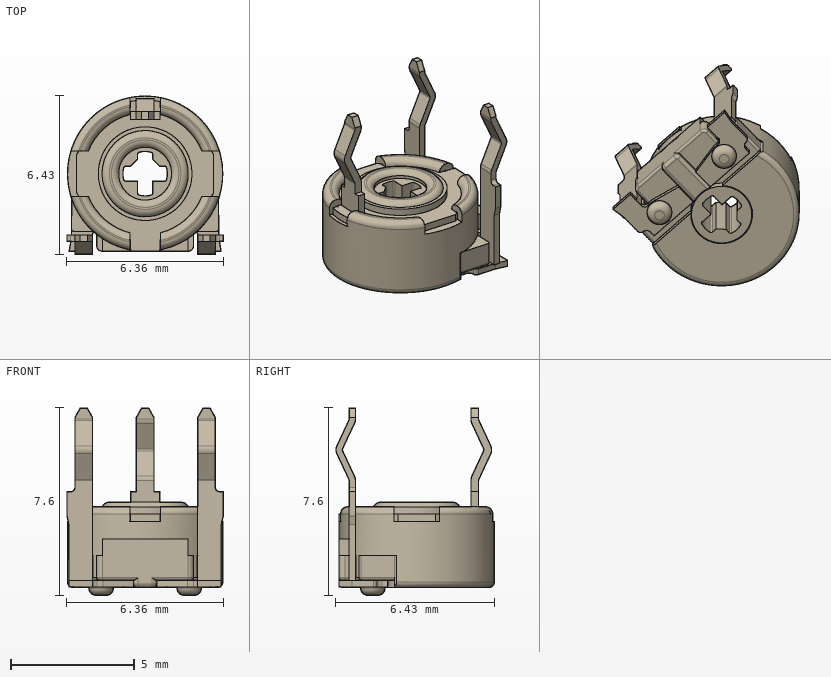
import cadquery as cq
import math


HOUSING_RADIUS = 6.3 / 2
HOUSING_TOP = 3.28
BOTTOM_FILLET = 0.23
PLATE_BOTTOM = 2.68
PLATE_TOP = 2.98
PLATE_RADIUS = 5.5 / 2
LIP_FILLET = HOUSING_TOP - PLATE_TOP
LIP_CREST_INNER_RADIUS = 2.78
LIP_INNER_RADIUS = LIP_CREST_INNER_RADIUS - LIP_FILLET
BORE_RADIUS = 3.6 / 2
BORE_FLOOR = 0.61
JOURNAL_HOLE_RADIUS = 2.5 / 2

SIDE_NOTCH_WIDTH = 1.84
END_NOTCH_WIDTH = 1.24

FRONT_Y = -HOUSING_RADIUS
WIDE_BLOCK_WIDTH = 3.94
WIDE_BLOCK_CORNER = 0.235
LOW_BLOCK_TOP = 1.29
TALL_BLOCK_WIDTH = WIDE_BLOCK_WIDTH - 2 * WIDE_BLOCK_CORNER
TALL_BLOCK_TOP = 1.975
SIDE_BLOCK_WIDTH = 5.96
SIDE_BLOCK_BACK_Y = -0.82
SIDE_BLOCK_FRONT_Y = -2.34
SIDE_BLOCK_CORNER = 0.08
SIDE_RELIEF_FILLET = 0.075
BLOCK_BOTTOM_FILLET = 0.11

FOOT_RECESS_BACK_Y = -0.9
FOOT_TOP = 0.3
BLOCK_CORE_BOTTOM = FOOT_TOP + BLOCK_BOTTOM_FILLET
BOSS_WIDTH = 0.94
BOSS_CORNER = 0.19
BOSS_BOTTOM_FILLET = 0.15
BOSS_ROOT = 0.76

FRONT_TAB_WIDTH = 1.185
BACK_TAB_RADIUS = 2.99
SIDE_TAB_REACH = 2.78
SIDE_TAB_FLAT = 1.52
SIDE_TAB_BEVEL = 0.09

COLLAR_RADIUS = 3.8 / 2
JOURNAL_RADIUS = 2.45 / 2
COLLAR_TOP = 3.27
ROTOR_TOP = 3.465
RING_SLOPE_WIDTH = 0.3
RING_CREST_OUTER_RADIUS = 2.9 / 2
RING_CREST_INNER_RADIUS = 1.37
RING_OUTER_RADIUS = RING_CREST_OUTER_RADIUS + RING_SLOPE_WIDTH
DISH_RADIUS = RING_CREST_INNER_RADIUS - RING_SLOPE_WIDTH
DISH_FLOOR = 3.14
KEY_RADIUS = 0.9
KEY_SLOT_WIDTH = 0.6
KEY_CORNER_FILLET = 0.07
KEY_BEVEL = 0.29

TERMINAL_TOP = 7.28
SHOULDER_TOP = 3.89
LEAD_WIDTH = 0.72
TIP_WIDTH = 0.29
TIP_HEIGHT = 0.39
BEND_HEIGHTS = (4.35, 5.585, 6.825)
BEND_RADIUS = 0.1

SIDE_STRIP = 0.265
SIDE_LEAD_BACK_Y = -2.48
SIDE_KICK = 0.53
SIDE_LEAD_INNER_X = -2.13
SIDE_LEAD_OUTER_X = SIDE_LEAD_INNER_X - LEAD_WIDTH
SHOULDER_X = -3.18
SHOULDER_BOTTOM = 2.91
SHOULDER_FILLET = 0.17
LEG_X = -3.085
LEG_TOP = 2.55

FOOT_BOTTOM = FOOT_TOP - SIDE_STRIP
PAD_OUTER_X = -2.995
PAD_FRONT_Y = -2.31
PAD_BACK_Y = -1.18
PAD_INNER_X = -BOSS_WIDTH / 2
PAD_INNER_FRONT_Y = -2.05
PAD_SLANT_START_X = -1.71
PAD_CORNER = PAD_FRONT_Y - SIDE_LEAD_BACK_Y
PAD_SIDE_END_Y = -2.615
PAD_BEND_Y = -1.755
NOSE_FILLET = 0.145
BITE_RADIUS = 0.21

CENTRE_STRIP = 0.32
CENTRE_LEAD_FRONT_Y = 2.2
CENTRE_KICK = 0.525
CENTRE_SHOULDER_WIDTH = FRONT_TAB_WIDTH

RIVET_X = 1.785
RIVET_Y = -1.78
RIVET_HEAD_RADIUS = 1.0 / 2
RIVET_HEAD_BOTTOM = -0.32
RIVET_HEAD_FILLET = 0.305
RIVET_SHANK_RADIUS = 0.7 / 2
RIVET_TOP = 0.61

SIDES = (-1, 1)


def box(x_range, y_range, z_range):
    """Box between the given limits on each axis."""
    size = [high - low for low, high in (x_range, y_range, z_range)]
    corner = (x_range[0], y_range[0], z_range[0])
    return cq.Workplane("XY").box(*size, centered=False).translate(corner)


def centred_box(width, y_range, z_range):
    """Box that is symmetric about the YZ plane."""
    return box((-width / 2, width / 2), y_range, z_range)


def disc(radius, bottom, top):
    return cq.Workplane("XY").workplane(offset=bottom).circle(radius).extrude(top - bottom)


def housing_shell():
    """Round wall with a lip, rounded on both sides, that curls over the cover plate."""
    arc_mid = LIP_FILLET * math.sqrt(0.5)
    outer_centre = HOUSING_RADIUS - LIP_FILLET
    bottom_centre = HOUSING_RADIUS - BOTTOM_FILLET
    bottom_mid = BOTTOM_FILLET * math.sqrt(0.5)
    profile = (
        cq.Workplane("XZ")
        .moveTo(JOURNAL_HOLE_RADIUS, 0)
        .lineTo(bottom_centre, 0)
        .threePointArc(
            (bottom_centre + bottom_mid, BOTTOM_FILLET - bottom_mid),
            (HOUSING_RADIUS, BOTTOM_FILLET),
        )
        .lineTo(HOUSING_RADIUS, PLATE_TOP)
        .threePointArc((outer_centre + arc_mid, PLATE_TOP + arc_mid), (outer_centre, HOUSING_TOP))
        .lineTo(LIP_CREST_INNER_RADIUS, HOUSING_TOP)
        .threePointArc((LIP_CREST_INNER_RADIUS - arc_mid, PLATE_TOP + arc_mid), (LIP_INNER_RADIUS, PLATE_TOP))
        .lineTo(PLATE_RADIUS, PLATE_TOP)
        .lineTo(PLATE_RADIUS, PLATE_BOTTOM)
        .lineTo(JOURNAL_HOLE_RADIUS, PLATE_BOTTOM)
        .close()
    )
    return profile.revolve(360, (0, 0, 0), (0, 1, 0))


def lip_notches():
    """Four gaps that split the lip into arcs and make room for the tabs of the plate."""
    reach = (-HOUSING_RADIUS, HOUSING_RADIUS)
    height = (PLATE_BOTTOM, HOUSING_TOP)
    across = box(reach, (-SIDE_NOTCH_WIDTH / 2, SIDE_NOTCH_WIDTH / 2), height)
    along = centred_box(END_NOTCH_WIDTH, reach, height)
    return across.union(along)


def front_blocks():
    """Stepped block at the front and the lower blocks that flank it, all above the terminal feet."""
    wide = (
        centred_box(WIDE_BLOCK_WIDTH, (FRONT_Y, 0), (FOOT_TOP, LOW_BLOCK_TOP))
        .edges("|Z and <Y")
        .fillet(WIDE_BLOCK_CORNER)
        .faces("<Z")
        .edges("not >Y")
        .fillet(BLOCK_BOTTOM_FILLET)
    )
    sides = (
        centred_box(SIDE_BLOCK_WIDTH, (SIDE_BLOCK_FRONT_Y, FOOT_RECESS_BACK_Y), (FOOT_TOP, LOW_BLOCK_TOP))
        .edges("|Z and <Y")
        .fillet(SIDE_BLOCK_CORNER)
        .faces("<Z")
        .edges("not >Y")
        .fillet(BLOCK_BOTTOM_FILLET)
    )
    tall = centred_box(TALL_BLOCK_WIDTH, (FRONT_Y, 0), (BLOCK_CORE_BOTTOM, TALL_BLOCK_TOP))
    return wide.union(sides).union(tall)


def foot_boss():
    """Boss between the two terminal feet."""
    return (
        centred_box(BOSS_WIDTH, (FRONT_Y, FOOT_RECESS_BACK_Y), (0, BOSS_ROOT))
        .edges("|Z and <Y")
        .fillet(BOSS_CORNER)
        .faces("<Z")
        .edges("not >Y")
        .fillet(BOSS_BOTTOM_FILLET)
    )


def side_relief():
    """Flats that trim the round wall flush with the outer sides of the side blocks."""
    left = (
        box(
            (-HOUSING_RADIUS, -SIDE_BLOCK_WIDTH / 2),
            (-HOUSING_RADIUS, SIDE_BLOCK_BACK_Y),
            (0, LOW_BLOCK_TOP),
        )
        .edges("|Z and >X and >Y")
        .fillet(SIDE_RELIEF_FILLET)
    )
    return left.union(left.mirror("YZ"))


def make_housing():
    span = (-HOUSING_RADIUS, HOUSING_RADIUS)
    bore = disc(BORE_RADIUS, BORE_FLOOR, PLATE_BOTTOM).union(disc(JOURNAL_HOLE_RADIUS, 0, BORE_FLOOR))
    foot_recess = box(span, (-HOUSING_RADIUS, FOOT_RECESS_BACK_Y), (0, BLOCK_CORE_BOTTOM))
    body = housing_shell().cut(lip_notches()).cut(side_relief()).cut(foot_recess)
    body = body.union(front_blocks()).union(foot_boss()).cut(bore)
    for side in SIDES:
        body = body.cut(disc(RIVET_SHANK_RADIUS, 0, RIVET_TOP).translate((side * RIVET_X, RIVET_Y, 0)))
    return body


def make_cover_plate():
    thickness = PLATE_TOP - PLATE_BOTTOM
    height = (PLATE_BOTTOM, PLATE_TOP)
    flat_end = SIDE_TAB_FLAT / 2
    tab_edge = SIDE_NOTCH_WIDTH / 2
    bevel_x = SIDE_TAB_REACH - SIDE_TAB_BEVEL
    side_tabs = (
        cq.Workplane("XY")
        .workplane(offset=PLATE_BOTTOM)
        .moveTo(bevel_x, -tab_edge)
        .lineTo(SIDE_TAB_REACH, -flat_end)
        .lineTo(SIDE_TAB_REACH, flat_end)
        .lineTo(bevel_x, tab_edge)
        .lineTo(-bevel_x, tab_edge)
        .lineTo(-SIDE_TAB_REACH, flat_end)
        .lineTo(-SIDE_TAB_REACH, -flat_end)
        .lineTo(-bevel_x, -tab_edge)
        .close()
        .extrude(thickness)
    )
    front_tab = centred_box(FRONT_TAB_WIDTH, (FRONT_Y, 0), height)
    back_tab = centred_box(FRONT_TAB_WIDTH, (0, HOUSING_RADIUS), height)
    back_tab = back_tab.intersect(disc(BACK_TAB_RADIUS, *height))
    plate = disc(PLATE_RADIUS, *height).union(side_tabs).union(front_tab).union(back_tab)
    return plate.cut(disc(BORE_RADIUS, *height))


def make_rotor_body():
    """Stepped shaft, collar and ring around a shallow dish; the ring slopes from its crest in arcs."""
    drop = ROTOR_TOP - COLLAR_TOP
    slope_radius = (RING_SLOPE_WIDTH**2 + drop**2) / (2 * drop)
    half_turn = math.asin(RING_SLOPE_WIDTH / slope_radius) / 2
    mid_out = slope_radius * math.sin(half_turn)
    mid_height = ROTOR_TOP - slope_radius * (1 - math.cos(half_turn))
    profile = (
        cq.Workplane("XZ")
        .lineTo(JOURNAL_RADIUS, 0)
        .lineTo(JOURNAL_RADIUS, BORE_FLOOR)
        .lineTo(BORE_RADIUS, BORE_FLOOR)
        .lineTo(BORE_RADIUS, PLATE_TOP)
        .lineTo(COLLAR_RADIUS, PLATE_TOP)
        .lineTo(COLLAR_RADIUS, COLLAR_TOP)
        .lineTo(RING_OUTER_RADIUS, COLLAR_TOP)
        .threePointArc((RING_CREST_OUTER_RADIUS + mid_out, mid_height), (RING_CREST_OUTER_RADIUS, ROTOR_TOP))
        .lineTo(RING_CREST_INNER_RADIUS, ROTOR_TOP)
        .threePointArc((RING_CREST_INNER_RADIUS - mid_out, mid_height), (DISH_RADIUS, COLLAR_TOP))
        .lineTo(DISH_RADIUS, DISH_FLOOR)
        .lineTo(0, DISH_FLOOR)
        .close()
    )
    return profile.revolve(360, (0, 0, 0), (0, 1, 0))


def key_hole():
    """Cross-shaped through hole with its two rear inside corners bevelled."""
    half = KEY_SLOT_WIDTH / 2
    bevel = half + KEY_BEVEL
    height = (0, ROTOR_TOP)
    reach = (-COLLAR_RADIUS, COLLAR_RADIUS)
    across = box(reach, (-half, half), height).intersect(disc(KEY_RADIUS, *height))
    along = box((-half, half), reach, height).intersect(disc(KEY_RADIUS, *height))
    across = across.edges("|Z").fillet(KEY_CORNER_FILLET)
    along = along.edges("|Z").fillet(KEY_CORNER_FILLET)
    bevels = (
        cq.Workplane("XY")
        .polyline([(-bevel, half), (-half, bevel), (half, bevel), (bevel, half)])
        .close()
        .extrude(ROTOR_TOP)
    )
    return across.union(along).union(bevels)


def kinked_strip(near_y, direction, thickness, kick, bottom):
    """Lead strip, wider than any lead, kinked outwards in the YZ plane.

    The strip's inward face is at near_y and it kinks along Y in `direction` (+1 or -1).
    Its kink juts out beyond the straight part by `kick`, and both sides of each bend are arcs.
    """
    low, mid, high = BEND_HEIGHTS
    inner = BEND_RADIUS
    outer = BEND_RADIUS + thickness
    base_centre = outer
    peak_centre = thickness + kick - outer
    rise = mid - low
    shift = peak_centre - base_centre
    lean = math.atan2(shift, rise) + math.asin((inner + outer) / math.hypot(shift, rise))

    def point(out, z):
        return (near_y + direction * out, z)

    def rim(centre_out, z, radius, angle):
        """Point on a bend arc, at an angle above the outward direction."""
        return point(centre_out + radius * math.cos(angle), z + radius * math.sin(angle))

    def base_rim(z, radius, angle):
        """Point on the inward side of a bend arc, at an angle above the inward direction."""
        return rim(base_centre, z, -radius, -angle)

    outline = (
        cq.Workplane("YZ")
        .moveTo(*point(0, bottom))
        .lineTo(*point(0, low))
        .threePointArc(base_rim(low, outer, lean / 2), base_rim(low, outer, lean))
        .lineTo(*rim(peak_centre, mid, inner, -lean))
        .threePointArc(rim(peak_centre, mid, inner, 0), rim(peak_centre, mid, inner, lean))
        .lineTo(*base_rim(high, outer, -lean))
        .threePointArc(base_rim(high, outer, -lean / 2), point(0, high))
        .lineTo(*point(0, TERMINAL_TOP))
        .lineTo(*point(thickness, TERMINAL_TOP))
        .lineTo(*point(thickness, high))
        .threePointArc(base_rim(high, inner, -lean / 2), base_rim(high, inner, -lean))
        .lineTo(*rim(peak_centre, mid, outer, lean))
        .threePointArc(rim(peak_centre, mid, outer, 0), rim(peak_centre, mid, outer, -lean))
        .lineTo(*base_rim(low, inner, lean))
        .threePointArc(base_rim(low, inner, lean / 2), point(thickness, low))
        .lineTo(*point(thickness, bottom))
        .close()
    )
    return outline.extrude(HOUSING_RADIUS * 2, both=True)


def tip_points(centre_x):
    """The tapered tip of a lead, from its right foot to its left foot."""
    half_lead = LEAD_WIDTH / 2
    half_tip = TIP_WIDTH / 2
    taper_start = TERMINAL_TOP - TIP_HEIGHT
    return [
        (centre_x + half_lead, taper_start),
        (centre_x + half_tip, TERMINAL_TOP),
        (centre_x - half_tip, TERMINAL_TOP),
        (centre_x - half_lead, taper_start),
    ]


def from_front(outline):
    """Prism along Y, through the whole part, of a closed outline in the XZ plane."""
    return outline.extrude(HOUSING_RADIUS * 2, both=True)


def side_lead():
    """Upright lead of the left terminal, with a shoulder on its outer side."""
    centre_x = (SIDE_LEAD_INNER_X + SIDE_LEAD_OUTER_X) / 2
    fillet_mid = SHOULDER_FILLET * (1 - math.sqrt(0.5))
    outline = (
        cq.Workplane("XZ")
        .moveTo(LEG_X, FOOT_TOP)
        .lineTo(SIDE_LEAD_INNER_X, FOOT_TOP)
        .polyline(tip_points(centre_x), includeCurrent=True)
        .lineTo(SIDE_LEAD_OUTER_X, SHOULDER_TOP + SHOULDER_FILLET)
        .threePointArc(
            (SIDE_LEAD_OUTER_X - fillet_mid, SHOULDER_TOP + fillet_mid),
            (SIDE_LEAD_OUTER_X - SHOULDER_FILLET, SHOULDER_TOP),
        )
        .lineTo(SHOULDER_X, SHOULDER_TOP)
        .lineTo(SHOULDER_X, SHOULDER_BOTTOM)
        .lineTo(LEG_X, LEG_TOP)
        .close()
    )
    strip = kinked_strip(SIDE_LEAD_BACK_Y, -1, SIDE_STRIP, SIDE_KICK, FOOT_TOP)
    return strip.intersect(from_front(outline))


def side_foot():
    """Foot of the left terminal: a toe at the front and a riveted pad under the housing."""
    corner_mid = PAD_CORNER * (1 - math.sqrt(0.5))
    nose_x = PAD_OUTER_X + NOSE_FILLET
    nose_mid = NOSE_FILLET * (1 - math.sqrt(0.5))
    bite_mid = BITE_RADIUS * math.sqrt(0.5)
    bite_centre_y = PAD_BEND_Y + NOSE_FILLET + BITE_RADIUS
    return (
        cq.Workplane("XY")
        .workplane(offset=FOOT_BOTTOM)
        .moveTo(LEG_X, FRONT_Y)
        .lineTo(SIDE_LEAD_INNER_X, FRONT_Y)
        .lineTo(SIDE_LEAD_INNER_X, SIDE_LEAD_BACK_Y)
        .threePointArc(
            (SIDE_LEAD_INNER_X + corner_mid, PAD_FRONT_Y - corner_mid),
            (SIDE_LEAD_INNER_X + PAD_CORNER, PAD_FRONT_Y),
        )
        .lineTo(PAD_SLANT_START_X, PAD_FRONT_Y)
        .lineTo(PAD_INNER_X, PAD_INNER_FRONT_Y)
        .lineTo(PAD_INNER_X, PAD_BACK_Y)
        .lineTo(nose_x + BITE_RADIUS, PAD_BACK_Y)
        .lineTo(nose_x + BITE_RADIUS, bite_centre_y)
        .threePointArc((nose_x + bite_mid, bite_centre_y - bite_mid), (nose_x, PAD_BEND_Y + NOSE_FILLET))
        .threePointArc(
            (PAD_OUTER_X + nose_mid, PAD_BEND_Y + NOSE_FILLET - nose_mid),
            (PAD_OUTER_X, PAD_BEND_Y),
        )
        .lineTo(PAD_OUTER_X, PAD_SIDE_END_Y)
        .close()
        .extrude(SIDE_STRIP)
    )


def make_side_terminal(side):
    """Terminal on the left (side = -1) or on the right (side = 1)."""
    rivet_hole = disc(RIVET_SHANK_RADIUS, FOOT_BOTTOM, FOOT_TOP).translate((-RIVET_X, RIVET_Y, 0))
    terminal = side_lead().union(side_foot()).cut(rivet_hole)
    return terminal if side < 0 else terminal.mirror("YZ")


def make_centre_terminal():
    """Terminal that stands on the back of the cover plate."""
    half_shoulder = CENTRE_SHOULDER_WIDTH / 2
    half_lead = LEAD_WIDTH / 2
    outline = (
        cq.Workplane("XZ")
        .moveTo(-half_shoulder, PLATE_TOP)
        .lineTo(half_shoulder, PLATE_TOP)
        .lineTo(half_shoulder, SHOULDER_TOP)
        .lineTo(half_lead, SHOULDER_TOP)
        .polyline(tip_points(0), includeCurrent=True)
        .lineTo(-half_lead, SHOULDER_TOP)
        .lineTo(-half_shoulder, SHOULDER_TOP)
        .close()
    )
    strip = kinked_strip(CENTRE_LEAD_FRONT_Y, 1, CENTRE_STRIP, CENTRE_KICK, PLATE_TOP)
    return strip.intersect(from_front(outline))


def make_rivet(side):
    """Rivet that holds a side terminal to the housing, on the left (-1) or on the right (1)."""
    head = disc(RIVET_HEAD_RADIUS, RIVET_HEAD_BOTTOM, FOOT_BOTTOM)
    head = head.faces("<Z").edges().fillet(RIVET_HEAD_FILLET)
    rivet = head.union(disc(RIVET_SHANK_RADIUS, FOOT_BOTTOM, RIVET_TOP))
    return rivet.translate((side * RIVET_X, RIVET_Y, 0))


housing = make_housing()
cover_plate = make_cover_plate()
rotor = make_rotor_body().cut(key_hole())
centre_terminal = make_centre_terminal()
side_terminals = [make_side_terminal(side) for side in SIDES]
rivets = [make_rivet(side) for side in SIDES]

result = cq.Compound.makeCompound(
    [
        housing.val(),
        cover_plate.val(),
        rotor.val(),
        centre_terminal.val(),
        *[terminal.val() for terminal in side_terminals],
        *[rivet.val() for rivet in rivets],
    ]
)